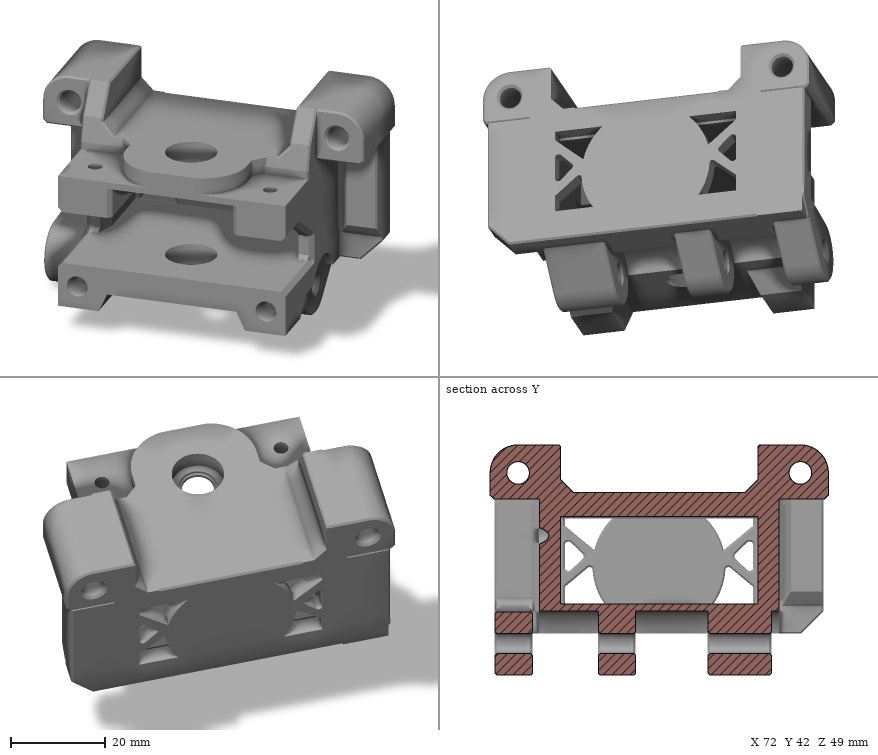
import cadquery as cq
import math


WIDTH = 71.96
DEPTH = 42.0
HEIGHT = 48.95
EDGE = 0.4
CHAMFER_TAPER = -45

BODY_HALF = 25.5
BODY_BOTTOM = 8.75
FOOT_BOTTOM = 5.1
LOWER_PLATE_BOTTOM = 9.2
LOWER_PLATE_TOP = 15.15
PAD_BOTTOM = 26.9
SHELF_TOP = 35.1
ROOF_TOP = 38.8
ROOF_UNDERSIDE = 33.65
EAR_FRONT = -27.0
ROOF_HALF = 17.0
ROOF_FRONT = -26.5
NOSE_FLANK_FRONT = -29.1
NOSE_HALF = 13.6

GAP_REAR = -23.6
GAP_SLOPE_FRONT = -33.1
GAP_SLOPE_BOTTOM = 20.6
GAP_CHAMFER = 1.0

CAVITY_HALF = 20.9
REAR_WALL = 4.0
PULLEY_RADIUS = 22.9

SHAFT_Y = -29.0
SHAFT_DIAMETER = 6.8
RELIEF_DIAMETER = 8.0
RELIEF_DEPTH = 0.5
BEARING_DIAMETER = 11.13
BEARING_DEPTH = 4.0

TUBE_RADIUS = 6.0
TUBE_LENGTH = 21.1
TUBE_BOTTOM = 37.4
TUBE_X = WIDTH / 2 - TUBE_RADIUS
TUBE_Z = HEIGHT - TUBE_RADIUS
TUBE_CORNER = 0.8
TUBE_BORE = 4.7
TUBE_BORE_MOUTH = 5.8

EAR_INNER = 20.9
EAR_KNEE_Z = 41.5

FLANGE_OUTER = 34.9
FLANGE_THICKNESS = 6.0
FLANGE_GUSSET = 1.2
FLANGE_ROOT = 1.0
FLANGE_CORNER = 4.7

RAISED_HEIGHT = 3.0
RAISED_INNER = 26.2
RAISED_SIDE_SLOPE = 1.85
RAISED_BOTTOM = 14.6
RAISED_BOTTOM_SLOPE = 3.1

LUG_RADIUS = 6.7
LUG_Y = -16.95
LUG_REAR_LOW = 12.4
LUG_REAR_HIGH = 14.7
LUG_GUSSET = 2.0
CLEARANCE_RADIUS = 6.9
LUG_BORE = 4.1
LUG_BORE_MOUTH = 5.15
OUTER_LUG = (-34.9, -26.85)
INNER_LUGS = [(-13.0, -4.95), (10.35, 23.9)]

SHELF_SCREW = 3.15
SHELF_SCREW_X = 19.6
SHELF_SCREW_Y = -34.6
INSERT_X = 21.15
INSERT_Z = 10.15
INSERT_MOUTH = 4.65
INSERT_END = 3.2
INSERT_DEPTH = 5.0
SIDE_HOLE_DIAMETER = 5.0
SIDE_HOLE_Y = -18.9
SIDE_HOLE_Z = 29.6
SIDE_HOLE_TILT = 20.0

DISK_RADIUS = 14.15
DISK_Z = 23.2
SPOKE_Z = 25.2
WINDOW_HALF = 20.0


def prism_x(points, x_start, x_end):
    """Extrude a (Y, Z) outline along X."""
    return cq.Workplane("YZ").workplane(offset=x_start).polyline(points).close().extrude(x_end - x_start)


def prism_y(points, y_rear, y_front):
    """Extrude an (X, Z) outline along -Y."""
    return cq.Workplane("XZ").workplane(offset=-y_rear).polyline(points).close().extrude(y_rear - y_front)


def box(x_range, y_range, z_range):
    size = [r[1] - r[0] for r in (x_range, y_range, z_range)]
    return cq.Workplane("XY").box(*size, centered=False).translate((x_range[0], y_range[0], z_range[0]))


def cylinder(base, direction, diameter, length):
    solid = cq.Solid.makeCylinder(diameter / 2, length, cq.Vector(*base), cq.Vector(*direction))
    return cq.Workplane(obj=solid)


def cone(base, direction, start_diameter, end_diameter, length):
    solid = cq.Solid.makeCone(
        start_diameter / 2, end_diameter / 2, length, cq.Vector(*base), cq.Vector(*direction))
    return cq.Workplane(obj=solid)


def both_sides(shape):
    """A shape together with its mirror image on the other side of X = 0."""
    return shape.newObject(shape.vals() + shape.mirror("YZ").vals())


def bore_with_mouths(start, direction, length, diameter, mouth):
    """Through bore with a 45 degree chamfer at both ends."""
    end = [s + d * length for s, d in zip(start, direction)]
    back = [-d for d in direction]
    depth = (mouth - diameter) / 2
    bore = cylinder(start, direction, diameter, length)
    for point, heading in ((start, direction), (end, back)):
        bore = bore.union(cone(point, heading, mouth, diameter, depth))
    return bore


def body_block():
    """Side outline of the body up to the shelf, extruded over the body width."""
    foot_rear = -32.1
    foot_slope_rear = -28.0
    step_y = -22.0
    outline = [
        (0, BODY_BOTTOM + EDGE), (-EDGE, BODY_BOTTOM),
        (step_y, BODY_BOTTOM), (step_y - EDGE, LOWER_PLATE_BOTTOM),
        (foot_slope_rear, LOWER_PLATE_BOTTOM), (foot_rear, FOOT_BOTTOM),
        (-DEPTH, FOOT_BOTTOM), (-DEPTH, SHELF_TOP), (0, SHELF_TOP),
    ]
    return prism_x(outline, -BODY_HALF, BODY_HALF).cut(foot_gap())


def roof():
    """Raised roof between the ears."""
    outline = [
        (0, ROOF_UNDERSIDE), (ROOF_FRONT, ROOF_UNDERSIDE), (ROOF_FRONT, ROOF_TOP),
        (-EDGE, ROOF_TOP), (0, ROOF_TOP - EDGE),
    ]
    return prism_x(outline, -ROOF_HALF, ROOF_HALF)


def foot_gap():
    """Passage between the two feet under the lower plate."""
    foot_inner = 16.4
    slope_top = 14.5
    gap = [
        (-foot_inner, FOOT_BOTTOM), (foot_inner, FOOT_BOTTOM),
        (slope_top, LOWER_PLATE_BOTTOM), (-slope_top, LOWER_PLATE_BOTTOM),
    ]
    return prism_y(gap, -DEPTH / 2, -DEPTH)


def roof_nose():
    """Rounded nose of the roof that carries the upper bearing."""
    nose_radius = 10.0
    overhang = 0.1
    rear_half = NOSE_HALF + ROOF_FRONT - NOSE_FLANK_FRONT
    outline = [
        (-NOSE_HALF, -DEPTH - overhang), (NOSE_HALF, -DEPTH - overhang),
        (NOSE_HALF, NOSE_FLANK_FRONT), (rear_half, ROOF_FRONT),
        (-rear_half, ROOF_FRONT), (-NOSE_HALF, NOSE_FLANK_FRONT),
    ]
    plan = cq.Workplane("XY").workplane(offset=SHELF_TOP).polyline(outline).close()
    nose = plan.extrude(ROOF_TOP - SHELF_TOP)
    rounded = nose.edges("|Z and <Y").fillet(nose_radius)
    return rounded.intersect(box((-BODY_HALF, BODY_HALF), (-DEPTH, 0), (SHELF_TOP, ROOF_TOP)))


def ear():
    """Ear on the +X side, with its sloping front."""
    mid_y, mid_z = -25.55, 42.4
    low_z = 36.9
    side = [
        (0, SHELF_TOP), (EAR_FRONT, SHELF_TOP), (EAR_FRONT, low_z),
        (mid_y, mid_z), (-TUBE_LENGTH, HEIGHT), (-EDGE, HEIGHT), (0, HEIGHT - EDGE),
    ]
    slope_inner = EAR_INNER - (EAR_KNEE_Z - ROOF_TOP)
    foot_inner = NOSE_HALF + EAR_FRONT - NOSE_FLANK_FRONT
    front = [
        (BODY_HALF, SHELF_TOP), (foot_inner, SHELF_TOP), (foot_inner, ROOF_TOP), (slope_inner, ROOF_TOP),
        (EAR_INNER, EAR_KNEE_Z), (EAR_INNER, HEIGHT), (BODY_HALF, HEIGHT),
    ]
    blank = prism_x(side, 0, BODY_HALF)
    shape = blank.intersect(prism_y(front, 0, EAR_FRONT))
    outer_front = cq.selectors.BoxSelector(
        (BODY_HALF - EDGE, EAR_FRONT - EDGE, SHELF_TOP), (BODY_HALF + EDGE, -TUBE_LENGTH, HEIGHT))
    inner_front = cq.selectors.BoxSelector(
        (slope_inner, EAR_FRONT, ROOF_TOP + EDGE), (EAR_INNER + EDGE, -TUBE_LENGTH, HEIGHT))
    inner_top = cq.selectors.BoxSelector(
        (EAR_INNER - EDGE, -TUBE_LENGTH, HEIGHT - EDGE), (EAR_INNER + EDGE, -EDGE * 2, HEIGHT + EDGE))
    return shape.edges(outer_front + inner_front + inner_top).chamfer(EDGE)


def tube():
    """Rod tube on the +X side with a round outer top corner."""
    outer = WIDTH / 2
    profile = (
        cq.Workplane("XZ")
        .moveTo(BODY_HALF, TUBE_BOTTOM)
        .lineTo(outer - TUBE_CORNER, TUBE_BOTTOM)
        .lineTo(outer, TUBE_BOTTOM + TUBE_CORNER)
        .lineTo(outer, TUBE_Z)
        .radiusArc((TUBE_X, HEIGHT), -TUBE_RADIUS)
        .lineTo(BODY_HALF, HEIGHT)
        .close()
        .extrude(TUBE_LENGTH)
    )
    return profile.faces("<Y or >Y").edges("not <X").chamfer(EDGE)


def flange(side):
    """Rear flange on the +X (side = 1) or -X (side = -1) side, with the gusset along the body wall."""
    root = BODY_HALF - FLANGE_ROOT
    outline = [
        (root, 0), (FLANGE_OUTER - EDGE, 0), (FLANGE_OUTER, -EDGE),
        (FLANGE_OUTER, EDGE - FLANGE_THICKNESS), (FLANGE_OUTER - EDGE, -FLANGE_THICKNESS),
        (BODY_HALF + FLANGE_GUSSET, -FLANGE_THICKNESS), (BODY_HALF, -FLANGE_THICKNESS - FLANGE_GUSSET),
        (root, -FLANGE_THICKNESS - FLANGE_GUSSET),
    ]
    height = TUBE_BOTTOM - BODY_BOTTOM
    placed = [(side * x, y) for x, y in outline]
    return cq.Workplane("XY").workplane(offset=BODY_BOTTOM).polyline(placed).close().extrude(height)


def below_pad_gusset():
    """Lower part of the +X gusset, to be removed at and below the foot of the raised pad."""
    return box(
        (BODY_HALF - FLANGE_ROOT, BODY_HALF + FLANGE_GUSSET),
        (-FLANGE_THICKNESS - FLANGE_GUSSET, -FLANGE_THICKNESS),
        (BODY_BOTTOM, RAISED_BOTTOM + FLANGE_GUSSET),
    )


def right_flange():
    """+X flange with a bevelled lower corner and a raised pad on its front."""
    corner = [
        (FLANGE_OUTER, BODY_BOTTOM), (FLANGE_OUTER, BODY_BOTTOM + FLANGE_CORNER),
        (FLANGE_OUTER - FLANGE_CORNER, BODY_BOTTOM),
    ]
    plate = flange(1).cut(below_pad_gusset()).cut(prism_y(corner, 0, -FLANGE_THICKNESS))
    bevel_centre = FLANGE_OUTER - FLANGE_CORNER / 2
    bevel_edges = cq.selectors.BoxSelector(
        (bevel_centre - EDGE, -DEPTH, BODY_BOTTOM), (bevel_centre + EDGE, EDGE, BODY_BOTTOM + FLANGE_CORNER))
    plate = plate.edges(bevel_edges).chamfer(EDGE)
    plate = plate.faces("<Z").edges("|X").chamfer(EDGE)
    pad_front = -FLANGE_THICKNESS - RAISED_HEIGHT
    pad_plan = [
        (RAISED_INNER, -FLANGE_THICKNESS), (FLANGE_OUTER, -FLANGE_THICKNESS + EDGE),
        (FLANGE_OUTER, pad_front + EDGE), (FLANGE_OUTER - EDGE, pad_front),
        (RAISED_INNER + RAISED_SIDE_SLOPE, pad_front),
    ]
    pad_side = [
        (-FLANGE_THICKNESS + EDGE, RAISED_BOTTOM), (-FLANGE_THICKNESS, RAISED_BOTTOM),
        (pad_front, RAISED_BOTTOM + RAISED_BOTTOM_SLOPE),
        (pad_front, TUBE_BOTTOM), (-FLANGE_THICKNESS + EDGE, TUBE_BOTTOM),
    ]
    pad = cq.Workplane("XY").polyline(pad_plan).close().extrude(HEIGHT)
    return plate.union(pad.intersect(prism_x(pad_side, 0, WIDTH / 2)))


def tangent_point(start, side):
    """Point where the line from start touches the lug circle, on the upper (+1) or lower (-1) side."""
    dy = start[0] - LUG_Y
    dz = start[1] - LUG_RADIUS
    angle = math.atan2(dz, dy) + side * math.acos(LUG_RADIUS / math.hypot(dy, dz))
    return (LUG_Y + LUG_RADIUS * math.cos(angle), LUG_RADIUS + LUG_RADIUS * math.sin(angle))


def flank_height(y, rear_z, side):
    """Z of a lug flank at a given Y."""
    touch = tangent_point((0, rear_z), side)
    return rear_z + (touch[1] - rear_z) * y / touch[0]


def lug(x_range):
    """Hinge lug: a round end joined to the rear face by two tangent flanks."""
    low = (0, LUG_REAR_LOW)
    high = (0, LUG_REAR_HIGH)
    shape = (
        cq.Workplane("YZ")
        .workplane(offset=x_range[0])
        .moveTo(*low)
        .lineTo(*tangent_point(low, -1))
        .threePointArc((LUG_Y - LUG_RADIUS, LUG_RADIUS), tangent_point(high, 1))
        .lineTo(*high)
        .close()
        .extrude(x_range[1] - x_range[0])
    )
    return shape.faces("<X or >X").edges("not >Y").chamfer(EDGE)


def left_flange():
    """-X flange, set back below the lower lug flank, with the outer lug on its front."""
    plate = flange(-1)
    gusset_front = -FLANGE_THICKNESS - FLANGE_GUSSET
    below = [
        (0, 0), (0, LUG_REAR_LOW),
        (gusset_front, flank_height(gusset_front, LUG_REAR_LOW, -1)), (gusset_front, 0),
    ]
    plate = plate.cut(prism_x(below, -FLANGE_OUTER, EDGE - FLANGE_OUTER))
    plate = plate.faces("<Z").edges("<X").chamfer(EDGE)
    corner_front = -FLANGE_THICKNESS - LUG_GUSSET
    corner_front_z = flank_height(corner_front, LUG_REAR_HIGH, 1)
    gusset_base = LUG_REAR_HIGH - LUG_GUSSET
    gusset = [
        (EDGE - FLANGE_THICKNESS, gusset_base), (EDGE - FLANGE_THICKNESS, corner_front_z + LUG_GUSSET),
        (-FLANGE_THICKNESS, corner_front_z + LUG_GUSSET),
        (corner_front, corner_front_z), (corner_front, gusset_base),
    ]
    plate = plate.union(prism_x(gusset, OUTER_LUG[0] + EDGE, OUTER_LUG[1]))
    return plate.union(lug(OUTER_LUG))


def side_gap():
    """Gap between upper and lower plates, open to the front and chamfered on both outer sides."""
    corner = GAP_CHAMFER
    outline = [
        (-DEPTH, LOWER_PLATE_TOP), (GAP_REAR - corner, LOWER_PLATE_TOP), (GAP_REAR, LOWER_PLATE_TOP + corner),
        (GAP_REAR, GAP_SLOPE_BOTTOM), (GAP_SLOPE_FRONT, PAD_BOTTOM), (-DEPTH, PAD_BOTTOM),
    ]
    gap = prism_x(outline, -BODY_HALF, BODY_HALF)
    inner = [
        (-DEPTH - GAP_CHAMFER, LOWER_PLATE_TOP), (GAP_REAR, LOWER_PLATE_TOP), (GAP_REAR, GAP_SLOPE_BOTTOM),
        (GAP_SLOPE_FRONT, PAD_BOTTOM), (-DEPTH - GAP_CHAMFER, PAD_BOTTOM),
    ]
    inner_wire = cq.Workplane("YZ").workplane(offset=BODY_HALF - GAP_CHAMFER).polyline(inner).close()
    flare = inner_wire.extrude(GAP_CHAMFER, taper=CHAMFER_TAPER)
    return gap.union(both_sides(flare))


def cavity():
    """Room for the pulley: a round pocket at the shaft, a box behind it and the gap between the pads."""
    pulley_height = PAD_BOTTOM - LOWER_PLATE_TOP
    pulley = cylinder((0, SHAFT_Y, LOWER_PLATE_TOP), (0, 0, 1), 2 * PULLEY_RADIUS, pulley_height)
    room_side = [
        (GAP_REAR, LOWER_PLATE_TOP), (-REAR_WALL, LOWER_PLATE_TOP), (-REAR_WALL, ROOF_UNDERSIDE - EDGE),
        (-REAR_WALL - EDGE, ROOF_UNDERSIDE), (GAP_REAR, ROOF_UNDERSIDE),
    ]
    room = prism_x(room_side, -CAVITY_HALF, CAVITY_HALF)
    between = box((-NOSE_HALF, NOSE_HALF), (-DEPTH, GAP_REAR), (LOWER_PLATE_TOP, ROOF_UNDERSIDE))
    mouth = 0.9
    mouth_plan = [
        (-NOSE_HALF - mouth, -DEPTH), (NOSE_HALF + mouth, -DEPTH),
        (NOSE_HALF, mouth - DEPTH), (-NOSE_HALF, mouth - DEPTH),
    ]
    flare = cq.Workplane("XY").workplane(offset=PAD_BOTTOM).polyline(mouth_plan).close()
    return pulley.union(room).union(between).union(flare.extrude(ROOF_UNDERSIDE - PAD_BOTTOM))


def rear_windows():
    """Three windows on the +X side of the rear wall, left between the disk, the spokes and the frame."""
    frame_drop = 6.5
    spoke_rise = 0.83
    small_tip = 15.7
    small_shoulder = 18.9
    small_half = 3.1
    small_round = 0.7
    tip_round = 0.6
    depth = REAR_WALL - EDGE
    disk = cylinder((0, 0, DISK_Z), (0, -1, 0), 2 * DISK_RADIUS, REAR_WALL)
    middle_drop = frame_drop - spoke_rise * WINDOW_HALF
    lower = [
        (0, LOWER_PLATE_TOP), (WINDOW_HALF, LOWER_PLATE_TOP),
        (WINDOW_HALF, SPOKE_Z - frame_drop), (0, SPOKE_Z - middle_drop),
    ]
    upper = [
        (0, ROOF_UNDERSIDE), (WINDOW_HALF, ROOF_UNDERSIDE),
        (WINDOW_HALF, SPOKE_Z + frame_drop), (0, SPOKE_Z + middle_drop),
    ]
    small = [
        (small_tip, SPOKE_Z), (small_shoulder, SPOKE_Z - small_half), (WINDOW_HALF, SPOKE_Z - small_half),
        (WINDOW_HALF, SPOKE_Z + small_half), (small_shoulder, SPOKE_Z + small_half),
    ]
    lower_window = prism_y(lower, 0, -depth).cut(disk)
    lower_window = lower_window.edges("|Y").edges(">Z").fillet(tip_round)
    upper_window = prism_y(upper, 0, -depth).cut(disk)
    small_window = prism_y(small, 0, -depth).edges("|Y").fillet(small_round)
    return flared(lower_window).union(flared(upper_window)).union(flared(small_window))


def flared(window):
    """Window with a chamfer that widens it at its front end."""
    return window.faces("<Y").wires().toPending().extrude(EDGE, taper=CHAMFER_TAPER)


def bearing_seat(top):
    """Bearing pocket and relief ring, going down from a given height."""
    seat = cylinder((0, SHAFT_Y, top), (0, 0, -1), BEARING_DIAMETER, BEARING_DEPTH)
    relief = cylinder((0, SHAFT_Y, top), (0, 0, -1), RELIEF_DIAMETER, BEARING_DEPTH + RELIEF_DEPTH)
    return seat.union(relief)


def shaft_bores():
    shaft = cylinder((0, SHAFT_Y, 0), (0, 0, 1), SHAFT_DIAMETER, HEIGHT)
    return shaft.union(bearing_seat(ROOF_TOP)).union(bearing_seat(LOWER_PLATE_TOP))


def screw_holes():
    """Shelf screw hole and heat-set insert hole on the +X side."""
    shelf_start = (SHELF_SCREW_X, SHELF_SCREW_Y, SHELF_TOP)
    shelf = cylinder(shelf_start, (0, 0, -1), SHELF_SCREW, SHELF_TOP - PAD_BOTTOM)
    insert = cone((INSERT_X, -DEPTH, INSERT_Z), (0, 1, 0), INSERT_MOUTH, INSERT_END, INSERT_DEPTH)
    return shelf.union(insert)


def side_hole():
    """Slanted hole through the -X wall into the cavity."""
    tilt = math.radians(SIDE_HOLE_TILT)
    heading = (math.cos(tilt), -math.sin(tilt), 0)
    start = (-BODY_HALF - heading[0], SIDE_HOLE_Y - heading[1], SIDE_HOLE_Z)
    wall = BODY_HALF - CAVITY_HALF
    return cylinder(start, heading, SIDE_HOLE_DIAMETER, 2 * wall)


def hinge_clearance():
    """Round grooves in the underside between the lugs, room for the mating hinge knuckles."""
    starts = [OUTER_LUG[1]] + [span[1] for span in INNER_LUGS]
    ends = [span[0] for span in INNER_LUGS] + [BODY_HALF]
    grooves = cq.Workplane()
    for x_start, x_end in zip(starts, ends):
        start = (x_start, LUG_Y, LUG_RADIUS)
        grooves = grooves.add(cylinder(start, (1, 0, 0), 2 * CLEARANCE_RADIUS, x_end - x_start))
    return grooves.combine()


def hinge_bores():
    bores = cq.Workplane()
    for x_start, x_end in [OUTER_LUG] + INNER_LUGS:
        start = (x_start, LUG_Y, LUG_RADIUS)
        bores = bores.add(bore_with_mouths(start, (1, 0, 0), x_end - x_start, LUG_BORE, LUG_BORE_MOUTH))
    return bores.combine()


result = body_block().union(roof()).union(roof_nose()).union(both_sides(ear()))
result = result.cut(hinge_clearance()).cut(side_gap()).cut(cavity()).cut(both_sides(rear_windows()))
result = result.union(both_sides(tube())).union(left_flange()).union(right_flange())
for lug_span in INNER_LUGS:
    result = result.union(lug(lug_span))
tube_bore = bore_with_mouths((TUBE_X, 0, TUBE_Z), (0, -1, 0), TUBE_LENGTH, TUBE_BORE, TUBE_BORE_MOUTH)
result = result.cut(both_sides(tube_bore)).cut(both_sides(screw_holes()))
result = result.cut(shaft_bores()).cut(side_hole()).cut(hinge_bores())